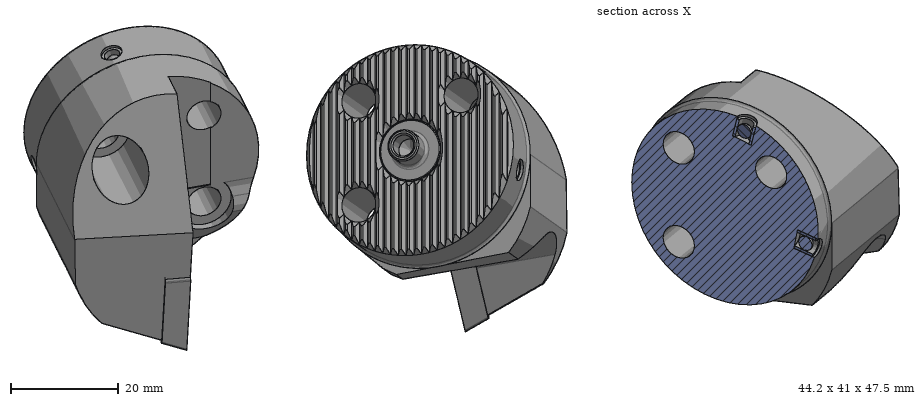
import cadquery as cq
import math


DISC_RADIUS = 20.0
FLANGE_RADIUS = 20.5
FLANGE_START = 10.95
STEP_FILLET = 0.65

TOOTH_COUNT = 27
CREST_SPAN = 39.0
CREST_FLAT = 0.345
TOOTH_DEPTH = 1.0
TOOTH_PITCH = CREST_SPAN / (TOOTH_COUNT - 1)

SIDE_FLAT_END = -9.9
SHOULDER_MID = (-18.9, -14.35)
SHOULDER_END = (-15.68, -19.15)
NOSE_ANGLE = 24.7
HEEL_LOW = (5.35, -21.4)
HEEL_HIGH = (8.05, -20.1)
HEEL_TANGENT_ANGLE = -53.0
BLOCK_END = 45.12

TOP_OFFSET = 38.05
TOP_SLOPE_Y = 0.084
TOP_SLOPE_Z = -0.71

END_OFFSET = 38.6
END_SLOPE_Y = 0.12
END_SLOPE_Z = -0.05

RAKE_ANGLE = 3.6
RAKE_OFFSET = 1.7
REAR_FACE = 18.4
REAR_RECESS = 18.15
REAR_RECESS_Y = 11.15
HEEL_REAR = 17.6
HUMP_START = -6.3
HUMP_CREST_Z = -11.88
HUMP_CREST = 20.4
HUMP_RADIUS = 9.5

GULLET_DIRECTION = cq.Vector(-0.09, 1, -0.14)
GULLET_FLOOR = -20.65
GULLET_RADIUS = 7.12
GULLET_CENTER = (26.85, -21.35)
ENTRY_ANGLE = 38.0
FLANK_ANGLE = 53.0

HOLE_OFFSET = 9.9
HOLE_RADIUS = 3.3
COUNTERBORE_RADIUS = 5.25

INSERT_TIP = (40.38, -27.85)
INSERT_SIDE = 16.6
INSERT_ANGLE = 35.0
INSERT_LEAN = 2.5
INSERT_THICKNESS = 4.75
INSERT_RELIEF = 7.0
INSERT_NOSE_RADIUS = 0.415

NOZZLE_TIP = -3.9
NOZZLE_RADIUS = 3.0
NOZZLE_TIP_CHAMFER = 0.3
NOZZLE_BORE = 2.0
NOZZLE_BORE_CHAMFER = 0.35
NOZZLE_BORE_END = 0.48
NOZZLE_FILLET = 0.65
DRILL_POINT_ANGLE = 59.0
COLLAR_RADIUS = 5.9
COLLAR_FACE = 1.0
COLLAR_CHAMFER = 0.25
COLLAR_SEAT = 3.0

PLUG_X = 6.85
PLUG_ANGLES = (103.6, 190.6)
SLEEVE_RADIUS = 2.0
SLEEVE_RECESS = 0.55
SLEEVE_LENGTH = 4.0
BALL_RADIUS = 1.45
BALL_RECESS = 1.05

AXIS = (0, 0)
BIG = 95.0


def turned(points):
    """Revolve an (x, radius) outline about the X axis."""
    return cq.Workplane("XY").polyline(points).close().revolve(360, AXIS, (1, 0))


def half_space(origin, normal):
    """A large block on the side of a plane that its normal points to."""
    across = cq.Vector(*normal).cross(cq.Vector(0, 1, 0))
    plane = cq.Plane(origin=origin, xDir=across.toTuple(), normal=normal)
    return cq.Workplane(plane).rect(BIG, BIG).extrude(BIG)


def tilt(angle):
    """Rise per unit length of a line at this angle in degrees."""
    return math.tan(math.radians(angle))


def polar(center, radius, angle):
    """The point at this radius and angle in degrees about a centre."""
    a = math.radians(angle)
    return (center[0] + radius * math.cos(a), center[1] + radius * math.sin(a))


def make_disc():
    """The disc with its front chamfer and the concave fillet up to the flange."""
    disc = turned([
        (0, 0),
        (0, DISC_RADIUS - TOOTH_DEPTH),
        (TOOTH_DEPTH, DISC_RADIUS),
        (FLANGE_START, DISC_RADIUS),
        (FLANGE_START, 0),
    ])
    fillet_start = FLANGE_START - STEP_FILLET
    fillet_center = (fillet_start, DISC_RADIUS + STEP_FILLET)
    fillet = (
        cq.Workplane("XY")
        .moveTo(fillet_start, DISC_RADIUS)
        .threePointArc(polar(fillet_center, STEP_FILLET, -45), (FLANGE_START, fillet_center[1]))
        .lineTo(FLANGE_START, 0)
        .lineTo(fillet_start, 0)
        .close()
        .revolve(360, AXIS, (1, 0))
    )
    return disc.union(fillet.intersect(x_cylinder(FLANGE_RADIUS, 0, FLANGE_START)))


def make_grooves():
    """All V grooves of the serration as one cutting tool running along Z."""
    half_groove = (TOOTH_PITCH - CREST_FLAT) / 2
    edge = TOOTH_COUNT / 2 * TOOTH_PITCH + TOOTH_PITCH
    points = [(-0.48, -edge), (0, -edge)]
    for i in range(TOOTH_COUNT + 1):
        root = (i - TOOTH_COUNT / 2) * TOOTH_PITCH
        points += [(0, root - half_groove), (TOOTH_DEPTH, root), (0, root + half_groove)]
    points += [(0, edge), (-0.48, edge)]
    return cq.Workplane("XY").polyline(points).close().extrude(BIG / 2, both=True)


def make_block():
    """The flange and the block behind it, bounded by the slanted top and the end face."""
    nose_end = SHOULDER_END[1] - (HEEL_LOW[0] - SHOULDER_END[0]) * tilt(NOSE_ANGLE)
    block = (
        cq.Workplane("YZ", origin=(FLANGE_START, 0, 0))
        .moveTo(-FLANGE_RADIUS, 0)
        .lineTo(-FLANGE_RADIUS, SIDE_FLAT_END)
        .threePointArc(SHOULDER_MID, SHOULDER_END)
        .lineTo(HEEL_LOW[0], nose_end)
        .lineTo(*HEEL_LOW)
        .lineTo(*HEEL_HIGH)
        .lineTo(*polar(AXIS, FLANGE_RADIUS, HEEL_TANGENT_ANGLE))
        .threePointArc(polar(AXIS, FLANGE_RADIUS, 45), (-FLANGE_RADIUS, 0))
        .close()
        .extrude(BLOCK_END - FLANGE_START)
    )
    block = block.cut(half_space((TOP_OFFSET, 0, 0), (1, -TOP_SLOPE_Y, -TOP_SLOPE_Z)))
    return block.cut(half_space((END_OFFSET, 0, 0), (1, -END_SLOPE_Y, -END_SLOPE_Z)))


def make_step_cut():
    """Clears the +Y side behind the rear face, leaving a low hump near its bottom."""
    middle = ((REAR_FACE + HUMP_CREST) / 2, (HUMP_START + HUMP_CREST_Z) / 2)
    bottom = -BIG / 2
    fall_center = (HUMP_CREST - HUMP_RADIUS, HUMP_CREST_Z)
    fall_angle = math.degrees(math.acos((HEEL_REAR - fall_center[0]) / HUMP_RADIUS))
    fall_end = polar(fall_center, HUMP_RADIUS, -fall_angle)
    region = (
        cq.Workplane("XZ")
        .moveTo(REAR_FACE, BIG / 2)
        .lineTo(REAR_FACE, HUMP_START)
        .tangentArcPoint(middle, relative=False)
        .tangentArcPoint((HUMP_CREST, HUMP_CREST_Z), relative=False)
        .threePointArc(polar(fall_center, HUMP_RADIUS, -fall_angle / 2), fall_end)
        .lineTo(HEEL_REAR, bottom)
        .lineTo(BIG, bottom)
        .lineTo(BIG, BIG / 2)
        .close()
        .extrude(BIG / 2, both=True)
    )
    recess = cq.Workplane("XY").box(
        REAR_FACE - REAR_RECESS, 2 * REAR_RECESS_Y, BIG / 2 - HUMP_START, centered=(False, True, False)
    )
    region = region.union(recess.translate((REAR_RECESS, 0, HUMP_START)))
    return region.cut(half_space((0, RAKE_OFFSET, 0), (0, -1, tilt(RAKE_ANGLE))))


def make_gullet():
    """The space below the block and ahead of the nose, swept obliquely across the head."""
    entry = polar(GULLET_CENTER, GULLET_RADIUS, 90 + ENTRY_ANGLE)
    crown = polar(GULLET_CENTER, GULLET_RADIUS, 90)
    flank = polar(GULLET_CENTER, GULLET_RADIUS, 90 - FLANK_ANGLE)
    floor_end = entry[0] - (entry[1] - GULLET_FLOOR) / tilt(ENTRY_ANGLE)
    bottom = -BIG / 2
    flank_end = flank[0] + (flank[1] - bottom) / tilt(FLANK_ANGLE)
    profile = (
        cq.Workplane("XZ")
        .moveTo(0, bottom)
        .lineTo(0, GULLET_FLOOR)
        .lineTo(floor_end, GULLET_FLOOR)
        .lineTo(*entry)
        .threePointArc(crown, flank)
        .lineTo(flank_end, bottom)
        .close()
        .val()
        .translate(GULLET_DIRECTION * (-BIG / 2))
    )
    return cq.Workplane(cq.Solid.extrudeLinear(profile, [], GULLET_DIRECTION * BIG))


def x_cylinder(radius, start, end, y=0.0, z=0.0):
    return cq.Workplane("YZ", origin=(start, y, z)).circle(radius).extrude(end - start)


def countersunk_hole(radius, end):
    """A hole on the X axis whose rim is countersunk to the roots of the serration."""
    return turned([
        (0, 0),
        (0, radius + TOOTH_DEPTH),
        (TOOTH_DEPTH, radius),
        (end, radius),
        (end, 0),
    ])


def make_hole_tools():
    """The central collar seat and the three counterbored mounting holes."""
    tools = [countersunk_hole(COLLAR_RADIUS, COLLAR_SEAT)]
    for side_y, side_z in ((1, 1), (1, -1), (-1, 1)):
        y = side_y * HOLE_OFFSET
        z = side_z * HOLE_OFFSET
        tools.append(countersunk_hole(HOLE_RADIUS, BLOCK_END).translate((0, y, z)))
        tools.append(x_cylinder(COUNTERBORE_RADIUS, REAR_FACE, BLOCK_END, y, z))
    return tools


def radial_plane(angle, radius):
    """A plane facing outwards at the given angle about X and distance from the axis."""
    y, z = polar(AXIS, radius, angle)
    return cq.Plane(origin=(PLUG_X, y, z), xDir=(1, 0, 0), normal=(0, y, z))


def sleeve_seat(angle):
    return cq.Workplane(radial_plane(angle, DISC_RADIUS - SLEEVE_RECESS - SLEEVE_LENGTH))


def make_plug_hole(angle):
    return sleeve_seat(angle).circle(SLEEVE_RADIUS).extrude(SLEEVE_LENGTH + 2 * SLEEVE_RECESS)


def make_sleeve(angle):
    return sleeve_seat(angle).circle(SLEEVE_RADIUS).circle(BALL_RADIUS).extrude(SLEEVE_LENGTH)


def make_ball(angle):
    center_radius = DISC_RADIUS - BALL_RECESS - BALL_RADIUS
    return cq.Workplane(radial_plane(angle, center_radius)).sphere(BALL_RADIUS)


def make_insert():
    """A 35 degree rhombic insert, flush with the rake wall and tapering below it."""
    tip_x, tip_z = INSERT_TIP
    tip_y = RAKE_OFFSET + tip_z * tilt(RAKE_ANGLE)
    plane = cq.Plane(
        origin=(tip_x, tip_y, tip_z),
        xDir=(1, 0, 0),
        normal=(0, -1, tilt(RAKE_ANGLE)),
    )
    end_corner = polar(AXIS, INSERT_SIDE, 90 + INSERT_LEAN)
    flank_corner = polar(AXIS, INSERT_SIDE, 90 + INSERT_LEAN + INSERT_ANGLE)
    far_corner = (end_corner[0] + flank_corner[0], end_corner[1] + flank_corner[1])
    rhombus = cq.Workplane("XY").polyline([(0, 0), end_corner, far_corner, flank_corner]).close()
    body = rhombus.extrude(INSERT_THICKNESS, taper=INSERT_RELIEF)
    rounded = body.edges("not #Z").fillet(INSERT_NOSE_RADIUS)
    return cq.Workplane(rounded.val().moved(cq.Location(plane)))


def make_nozzle():
    """A tube on a collar, with a blind drilled bore open at the tip."""
    root = NOZZLE_RADIUS + NOZZLE_FILLET
    fillet_center = (COLLAR_FACE - NOZZLE_FILLET, root)
    mouth = NOZZLE_BORE + NOZZLE_BORE_CHAMFER
    return (
        cq.Workplane("XY")
        .moveTo(NOZZLE_TIP, mouth)
        .lineTo(NOZZLE_TIP, NOZZLE_RADIUS - NOZZLE_TIP_CHAMFER)
        .lineTo(NOZZLE_TIP + NOZZLE_TIP_CHAMFER, NOZZLE_RADIUS)
        .lineTo(fillet_center[0], NOZZLE_RADIUS)
        .threePointArc(polar(fillet_center, NOZZLE_FILLET, -45), (COLLAR_FACE, root))
        .lineTo(COLLAR_FACE, COLLAR_RADIUS - COLLAR_CHAMFER)
        .lineTo(COLLAR_FACE + COLLAR_CHAMFER, COLLAR_RADIUS)
        .lineTo(COLLAR_SEAT, COLLAR_RADIUS)
        .lineTo(COLLAR_SEAT, 0)
        .lineTo(NOZZLE_BORE_END + NOZZLE_BORE / tilt(DRILL_POINT_ANGLE), 0)
        .lineTo(NOZZLE_BORE_END, NOZZLE_BORE)
        .lineTo(NOZZLE_TIP + NOZZLE_BORE_CHAMFER, NOZZLE_BORE)
        .close()
        .revolve(360, AXIS, (1, 0))
    )


def make_head(insert):
    """The whole head, with a pocket that fits the insert."""
    block = make_block().cut(make_step_cut()).cut(make_gullet())
    head = make_disc().cut(make_grooves()).union(block)
    for tool in make_hole_tools():
        head = head.cut(tool)
    for angle in PLUG_ANGLES:
        head = head.cut(make_plug_hole(angle))
    return head.cut(insert).solids()


insert = make_insert()
head = make_head(insert)
nozzle = make_nozzle()
sleeves = [make_sleeve(angle) for angle in PLUG_ANGLES]
balls = [make_ball(angle) for angle in PLUG_ANGLES]

result = cq.Compound.makeCompound([
    head.val(),
    insert.val(),
    nozzle.val(),
    *[sleeve.val() for sleeve in sleeves],
    *[ball.val() for ball in balls],
])